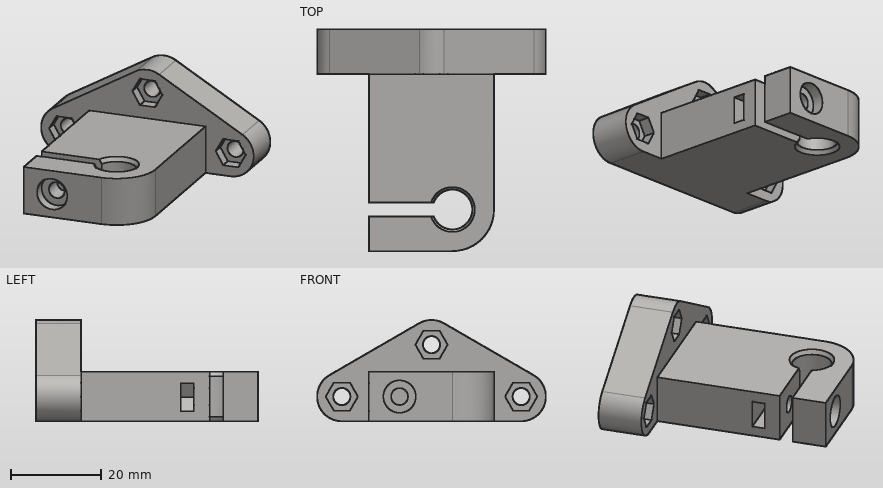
import cadquery as cq
import math

PLATE_THICKNESS = 10.0
CORNER_RADIUS = 5.5
SIDE_HOLE_OFFSET = 19.875
TOP_HOLE_RISE = 11.5

ARM_WIDTH = 27.75
ARM_HEIGHT = 2 * CORNER_RADIUS
BORE_DISTANCE = 30.0
ARM_CORNER_RADIUS = 9.25

BORE_DIAMETER = 8.8
BORE_CHAMFER_DIAMETER = 9.96
BORE_CHAMFER_HEIGHT = 1.0
SLIT_WIDTH = 3.0

SCREW_DIAMETER = 3.75
HEAD_DIAMETER = 7.2
HEAD_DEPTH = 2.8
NUT_FLAT_WIDTH = 6.2
PLATE_NUT_DEPTH = 2.8
CLAMP_NUT_THICKNESS = 2.85
CLAMP_NUT_WALL = 3.5
CLAMP_NUT_DROP = 0.1
CLAMP_SCREW_INSET = 6.8

ARM_LEFT = -ARM_WIDTH / 2
ARM_RIGHT = ARM_WIDTH / 2
ARM_END = -(BORE_DISTANCE + ARM_CORNER_RADIUS)
BORE_X = ARM_RIGHT - ARM_CORNER_RADIUS
CLAMP_SCREW_X = ARM_LEFT + CLAMP_SCREW_INSET
SCREW_Z = CORNER_RADIUS
CLAMP_NUT_Z = SCREW_Z - CLAMP_NUT_DROP
CLAMP_NUT_FRONT = -BORE_DISTANCE + SLIT_WIDTH / 2 + CLAMP_NUT_WALL
CLAMP_NUT_BACK = CLAMP_NUT_FRONT + CLAMP_NUT_THICKNESS
NUT_CORNER_DIAMETER = NUT_FLAT_WIDTH / math.cos(math.radians(30))
PLATE_HOLES = [
    (-SIDE_HOLE_OFFSET, SCREW_Z),
    (SIDE_HOLE_OFFSET, SCREW_Z),
    (0, SCREW_Z + TOP_HOLE_RISE),
]


def plane_facing_back(y):
    """XZ sketch plane at the given Y, extruding toward +Y, with local coordinates (X, -Z)."""
    return cq.Workplane(cq.Plane(origin=(0, y, 0), xDir=(1, 0, 0), normal=(0, 1, 0)))


def rod_along_y(x, z, diameter, y_start, length):
    """Cylinder that starts at y_start and runs toward +Y."""
    return plane_facing_back(y_start).center(x, -z).circle(diameter / 2).extrude(length)


def nut_along_y(x, z, y_start, length):
    """Hexagonal prism with two corners pointing along X, running toward +Y."""
    return plane_facing_back(y_start).center(x, -z).polygon(6, NUT_CORNER_DIAMETER).extrude(length)


def make_plate():
    """Outline of three corner arcs of one radius, joined by their common tangents."""
    slope = math.atan2(TOP_HOLE_RISE, SIDE_HOLE_OFFSET)
    tangent_x = CORNER_RADIUS * math.sin(slope)
    tangent_z = CORNER_RADIUS * math.cos(slope)
    top_z = SCREW_Z + TOP_HOLE_RISE
    side_end = SIDE_HOLE_OFFSET + CORNER_RADIUS
    return (
        cq.Workplane("XZ")
        .moveTo(-SIDE_HOLE_OFFSET, 0)
        .lineTo(SIDE_HOLE_OFFSET, 0)
        .threePointArc((side_end, SCREW_Z), (SIDE_HOLE_OFFSET + tangent_x, SCREW_Z + tangent_z))
        .lineTo(tangent_x, top_z + tangent_z)
        .threePointArc((0, top_z + CORNER_RADIUS), (-tangent_x, top_z + tangent_z))
        .lineTo(-SIDE_HOLE_OFFSET - tangent_x, SCREW_Z + tangent_z)
        .threePointArc((-side_end, SCREW_Z), (-SIDE_HOLE_OFFSET, 0))
        .close()
        .extrude(-PLATE_THICKNESS)
    )


def make_arm():
    """Block whose free end is rounded about the bore on the +X side."""
    return (
        cq.Workplane("XY")
        .moveTo(ARM_LEFT, 0)
        .lineTo(ARM_LEFT, ARM_END)
        .lineTo(BORE_X, ARM_END)
        .radiusArc((ARM_RIGHT, -BORE_DISTANCE), -ARM_CORNER_RADIUS)
        .lineTo(ARM_RIGHT, 0)
        .close()
        .extrude(ARM_HEIGHT)
    )


def cut_plate_screws(body):
    """Through holes with hexagonal nut pockets in the front face."""
    for x, z in PLATE_HOLES:
        body = body.cut(rod_along_y(x, z, SCREW_DIAMETER, 0, PLATE_THICKNESS))
        body = body.cut(nut_along_y(x, z, 0, PLATE_NUT_DEPTH))
    return body


def cut_rod_bore(body):
    """Vertical bore, revolved about its axis, with a conical chamfer at each end."""
    bore_radius = BORE_DIAMETER / 2
    rim_radius = BORE_CHAMFER_DIAMETER / 2
    bore = (
        cq.Workplane("XZ")
        .moveTo(0, 0)
        .lineTo(rim_radius, 0)
        .lineTo(bore_radius, BORE_CHAMFER_HEIGHT)
        .lineTo(bore_radius, ARM_HEIGHT - BORE_CHAMFER_HEIGHT)
        .lineTo(rim_radius, ARM_HEIGHT)
        .lineTo(0, ARM_HEIGHT)
        .close()
        .revolve(360, (0, 0), (0, 1))
    )
    return body.cut(bore.translate((BORE_X, -BORE_DISTANCE, 0)))


def cut_slit(body):
    """Slit from the -X side to the bore axis."""
    slit = cq.Workplane("XY").box(BORE_X - ARM_LEFT, SLIT_WIDTH, ARM_HEIGHT, centered=(False, True, False))
    return body.cut(slit.translate((ARM_LEFT, -BORE_DISTANCE, 0)))


def cut_clamp_screw(body):
    """Counterbored screw hole from the free end to a captive nut loaded from the -X side."""
    screw_length = CLAMP_NUT_BACK - ARM_END
    body = body.cut(rod_along_y(CLAMP_SCREW_X, SCREW_Z, SCREW_DIAMETER, ARM_END, screw_length))
    body = body.cut(rod_along_y(CLAMP_SCREW_X, SCREW_Z, HEAD_DIAMETER, ARM_END, HEAD_DEPTH))
    body = body.cut(nut_along_y(CLAMP_SCREW_X, CLAMP_NUT_Z, CLAMP_NUT_FRONT, CLAMP_NUT_THICKNESS))
    loading_slot = cq.Workplane("XY").box(
        CLAMP_SCREW_INSET, CLAMP_NUT_THICKNESS, NUT_FLAT_WIDTH, centered=(False, False, True)
    )
    return body.cut(loading_slot.translate((ARM_LEFT, CLAMP_NUT_FRONT, CLAMP_NUT_Z)))


result = make_plate().union(make_arm())
result = cut_plate_screws(result)
result = cut_rod_bore(result)
result = cut_slit(result)
result = cut_clamp_screw(result)